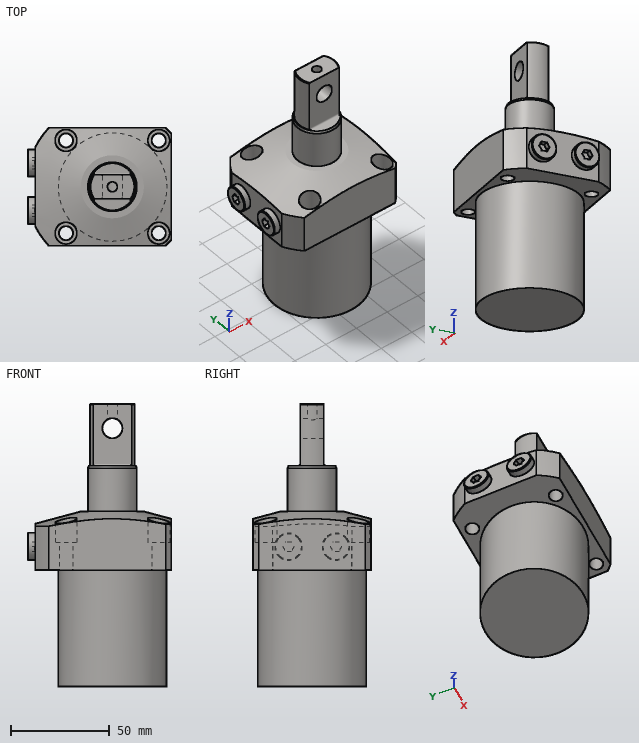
import cadquery as cq
import math


BARREL_DIAMETER = 55.1
FLANGE_BOTTOM = 59.1
FLANGE_WIDTH = 60.0
FLANGE_HALF_WIDTH = FLANGE_WIDTH / 2
FLANGE_PORT_SIDE = 39.2
FLANGE_CORNER_RADIUS = 44.0
FLANGE_CORNER_CHAMFER = 3.0
FLANGE_TOP = 89.0
TOP_LAND_DIAMETER = 32.0
CONE_ANGLE = 15

BOLT_OFFSET = 23.5
BOLT_HOLE_DIAMETER = 7.0
COUNTERBORE_DIAMETER = 11.0
COUNTERBORE_FLOOR = 73.2

ROD_DIAMETER = 25.0
ROD_SHOULDER = 112.2
ROD_CHAMFER_HEIGHT = 1.3
ROD_CHAMFER_INSET = 0.6
ROD_TOP = 143.5
TANG_DIAMETER = 23.0
TANG_THICKNESS = 12.0
TANG_TOP_CHAMFER = 0.5
TANG_ROOT_FILLET = 0.9
PIN_HOLE_DIAMETER = 10.0
PIN_HOLE_CENTER = ROD_TOP - 12.3
TAP_HOLE_DIAMETER = 5.0

PLUG_DIAMETER = 13.9
PLUG_THICKNESS = 43.0 - FLANGE_PORT_SIDE
PLUG_OFFSET = 12.0
PLUG_CENTER_Z = FLANGE_BOTTOM + 12.0
PLUG_CHAMFER = 0.5
HEX_ACROSS_CORNERS = 5.7
HEX_DEPTH = 3.5


def flange_outline():
    """Flange plan: a rectangle with arc corners at -X and chamfered corners at +X."""
    half = FLANGE_HALF_WIDTH
    arc_x = -math.sqrt(FLANGE_CORNER_RADIUS**2 - half**2)
    port_y = math.sqrt(FLANGE_CORNER_RADIUS**2 - FLANGE_PORT_SIDE**2)
    mid_angle = (math.atan2(half, -arc_x) + math.atan2(port_y, FLANGE_PORT_SIDE)) / 2
    mid_x = -FLANGE_CORNER_RADIUS * math.cos(mid_angle)
    mid_y = FLANGE_CORNER_RADIUS * math.sin(mid_angle)
    return (
        cq.Workplane("XY", origin=(0, 0, FLANGE_BOTTOM))
        .moveTo(arc_x, -half)
        .lineTo(half - FLANGE_CORNER_CHAMFER, -half)
        .lineTo(half, -half + FLANGE_CORNER_CHAMFER)
        .lineTo(half, half - FLANGE_CORNER_CHAMFER)
        .lineTo(half - FLANGE_CORNER_CHAMFER, half)
        .lineTo(arc_x, half)
        .threePointArc((mid_x, mid_y), (-FLANGE_PORT_SIDE, port_y))
        .lineTo(-FLANGE_PORT_SIDE, -port_y)
        .threePointArc((mid_x, -mid_y), (arc_x, -half))
        .close()
    )


def cone_envelope():
    """Round body whose top is a flat land that falls away as a cone."""
    land_radius = TOP_LAND_DIAMETER / 2
    rim_radius = FLANGE_CORNER_RADIUS + 1.5
    rim_z = FLANGE_TOP - (rim_radius - land_radius) * math.tan(math.radians(CONE_ANGLE))
    return (
        cq.Workplane("XZ")
        .moveTo(0, FLANGE_BOTTOM)
        .lineTo(rim_radius, FLANGE_BOTTOM)
        .lineTo(rim_radius, rim_z)
        .lineTo(land_radius, FLANGE_TOP)
        .lineTo(0, FLANGE_TOP)
        .close()
        .revolve(360, (0, 0, 0), (0, 1, 0))
    )


def bolt_cutters(diameter, bottom):
    """Four upright cylinders on the bolt square, from the bottom height to the flange top."""
    return (
        cq.Workplane("XY", origin=(0, 0, bottom))
        .rect(2 * BOLT_OFFSET, 2 * BOLT_OFFSET, forConstruction=True)
        .vertices()
        .circle(diameter / 2)
        .extrude(FLANGE_TOP - bottom)
    )


def make_housing():
    """Barrel and flange with the counterbored mounting holes."""
    flange = flange_outline().extrude(FLANGE_TOP - FLANGE_BOTTOM).intersect(cone_envelope())
    flange = flange.cut(bolt_cutters(BOLT_HOLE_DIAMETER, FLANGE_BOTTOM))
    flange = flange.cut(bolt_cutters(COUNTERBORE_DIAMETER, COUNTERBORE_FLOOR))
    barrel = cq.Workplane("XY").circle(BARREL_DIAMETER / 2).extrude(FLANGE_BOTTOM)
    return barrel.union(flange)


def make_rod():
    """Round rod standing on the flange, with a flatted tang, a pin hole and a tapped hole."""
    rod_radius = ROD_DIAMETER / 2
    shaft = (
        cq.Workplane("XZ")
        .moveTo(0, FLANGE_TOP)
        .lineTo(rod_radius, FLANGE_TOP)
        .lineTo(rod_radius, ROD_SHOULDER - ROD_CHAMFER_HEIGHT)
        .lineTo(rod_radius - ROD_CHAMFER_INSET, ROD_SHOULDER)
        .lineTo(0, ROD_SHOULDER)
        .close()
        .revolve(360, (0, 0, 0), (0, 1, 0))
    )
    tang_height = ROD_TOP - ROD_SHOULDER
    tang = (
        cq.Workplane("XY", origin=(0, 0, ROD_SHOULDER))
        .circle(TANG_DIAMETER / 2)
        .extrude(tang_height)
        .faces(">Z")
        .chamfer(TANG_TOP_CHAMFER)
    )
    half_thickness = TANG_THICKNESS / 2
    foot_y = half_thickness + TANG_ROOT_FILLET
    fillet_top = ROD_SHOULDER + TANG_ROOT_FILLET
    flats = (
        cq.Workplane("YZ")
        .moveTo(-foot_y, ROD_SHOULDER)
        .radiusArc((-half_thickness, fillet_top), -TANG_ROOT_FILLET)
        .lineTo(-half_thickness, ROD_TOP)
        .lineTo(half_thickness, ROD_TOP)
        .lineTo(half_thickness, fillet_top)
        .radiusArc((foot_y, ROD_SHOULDER), -TANG_ROOT_FILLET)
        .close()
        .extrude(TANG_DIAMETER, both=True)
    )
    pin_hole = (
        cq.Workplane("XZ", origin=(0, 0, PIN_HOLE_CENTER))
        .circle(PIN_HOLE_DIAMETER / 2)
        .extrude(TANG_THICKNESS, both=True)
    )
    tap_hole = (
        cq.Workplane("XY", origin=(0, 0, PIN_HOLE_CENTER))
        .circle(TAP_HOLE_DIAMETER / 2)
        .extrude(ROD_TOP - PIN_HOLE_CENTER)
    )
    return shaft.union(tang.intersect(flats)).cut(pin_hole).cut(tap_hole)


def make_plug(y):
    """Disc-shaped plug on the port face with a hex socket whose corners point along Y."""
    disc = (
        cq.Workplane("YZ", origin=(-FLANGE_PORT_SIDE, y, PLUG_CENTER_Z))
        .circle(PLUG_DIAMETER / 2)
        .extrude(-PLUG_THICKNESS)
        .faces("<X")
        .chamfer(PLUG_CHAMFER)
    )
    socket = (
        cq.Workplane("YZ", origin=(-FLANGE_PORT_SIDE - PLUG_THICKNESS, y, PLUG_CENTER_Z))
        .polygon(6, HEX_ACROSS_CORNERS)
        .extrude(HEX_DEPTH)
    )
    return disc.cut(socket)


housing = make_housing()
rod = make_rod()
plugs = [make_plug(y) for y in (-PLUG_OFFSET, PLUG_OFFSET)]

result = cq.Compound.makeCompound([housing.val(), rod.val(), *[plug.val() for plug in plugs]])